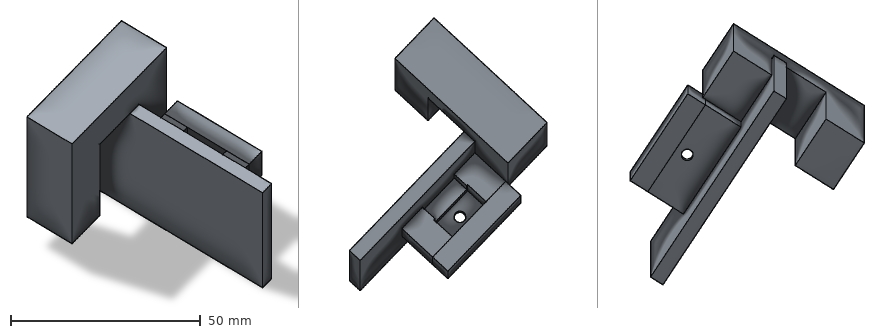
import cadquery as cq


plate_width = 60.0
plate_height = 40.0
plate_thickness = 3.9

boss_width = 28.0
boss_height = 10.0
boss_depth = 11.15
boss_left = (plate_width - boss_width) / 2
boss_bottom = (plate_height - boss_height) / 2

pocket_width = 12.95
pocket_length = 6.65
pocket_floor = 2.0
channel_width = 12.2
channel_floor = boss_height / 2
hole_diameter = 3.05
pocket_front = boss_depth - pocket_length
hole_y = boss_depth - pocket_length / 2

cap_thickness = 5.5

hook_width = 15.0
hook_wall = 12.0
hook_gap = 17.0
front_leg_length = 42.0
back_leg_length = 30.85
hook_left = boss_left - hook_width
hook_top = plate_height + hook_wall


def box(x_size, y_size, z_size, corner):
    """A block that extends in +X, +Y and +Z from the given corner."""
    return cq.Workplane("XY").box(x_size, y_size, z_size, centered=False).translate(corner)


def recess(width, length, front, floor):
    """Cutter for a recess centred on the plate and open at the top of the boss."""
    left = (plate_width - width) / 2
    return box(width, length, boss_height - floor, (left, front, boss_bottom + floor))


def make_plate():
    """Plate with the boss, which holds a shallow channel, a deeper pocket and a hole."""
    panel = box(plate_width, plate_thickness, plate_height, (0, -plate_thickness, 0))
    boss = box(boss_width, boss_depth, boss_height, (boss_left, 0, boss_bottom))
    channel = recess(channel_width, pocket_front, 0, channel_floor)
    pocket = recess(pocket_width, pocket_length, pocket_front, pocket_floor)
    hole = (
        cq.Workplane("XY", origin=(plate_width / 2, hole_y, boss_bottom))
        .circle(hole_diameter / 2)
        .extrude(boss_height)
    )
    return panel.union(boss).cut(channel).cut(pocket).cut(hole)


def make_cap():
    """Plain bar behind the boss, with the same width and height."""
    return box(boss_width, cap_thickness, boss_height, (boss_left, boss_depth, boss_bottom))


def make_hook():
    """Upside-down U with a long front leg and a short back leg that touches the plate."""
    front_bottom = hook_top - front_leg_length
    back_bottom = hook_top - back_leg_length
    front_outside = -hook_gap - hook_wall
    outline = [
        (front_outside, front_bottom),
        (front_outside, hook_top),
        (hook_wall, hook_top),
        (hook_wall, back_bottom),
        (0, back_bottom),
        (0, plate_height),
        (-hook_gap, plate_height),
        (-hook_gap, front_bottom),
    ]
    return cq.Workplane("YZ", origin=(hook_left, 0, 0)).polyline(outline).close().extrude(hook_width)


plate = make_plate()
cap = make_cap()
hook = make_hook()

result = cq.Compound.makeCompound([plate.solids().val(), cap.val(), hook.val()])